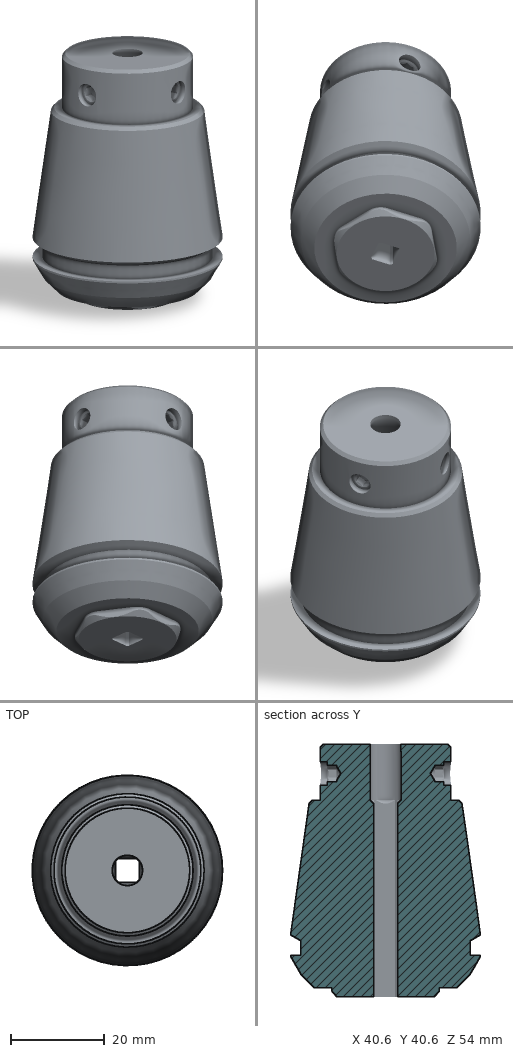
import cadquery as cq
import math

total_height = 54.0
hexagon_height = 1.9
rim_bottom_z = 8.6
groove_bottom_z = 9.0
groove_top_z = 12.0
shoulder_z = 42.0
set_screw_z = 47.7

body_max_radius = 40.64 / 2
rim_radius = 40.55 / 2
groove_radius = 36.4 / 2
cap_radius = 28.0 / 2
cap_chamfer = 0.7
shoulder_chamfer = 0.7

body_taper = math.radians(8)
nose_taper = math.radians(30)
nose_break_z = 4.75

hexagon_across_flats = 21.0
hexagon_across_corners = 23.0
hexagon_base_radius = 10.45
hexagon_taper = math.radians(40)

bore_diameter = 6.48
bore_depth = total_height - shoulder_z
square_side = 5.0
bore_floor_angle = math.radians(90)

set_screw_count = 4
screw_hole_diameter = 4.92
screw_face_radius = 12.5
socket_across_flats = 3.0
socket_depth = 2.0
countersink_diameter = 3.7
drill_point_angle = math.radians(118)


def cone(base_radius, top_radius, height):
    """Cone along +Z with its base at the origin."""
    return cq.Workplane("XY").add(cq.Solid.makeCone(base_radius, top_radius, height))


def across_corners(across_flats):
    return across_flats / math.cos(math.pi / 6)


def turned_body():
    """Nose, clamping groove, tapered body and cap revolved about Z."""
    groove_flank_height = (body_max_radius - groove_radius) * math.tan(nose_taper)
    body_bottom_z = groove_top_z + groove_flank_height
    body_top_z = shoulder_z - shoulder_chamfer
    body_top_radius = body_max_radius - (body_top_z - body_bottom_z) * math.tan(body_taper)
    nose_break_radius = rim_radius - (rim_bottom_z - nose_break_z) * math.tan(nose_taper)
    nose_end_radius = nose_break_radius - (nose_break_z - hexagon_height)
    profile = [
        (0, hexagon_height),
        (nose_end_radius, hexagon_height),
        (nose_break_radius, nose_break_z),
        (rim_radius, rim_bottom_z),
        (rim_radius, groove_bottom_z),
        (groove_radius, groove_bottom_z),
        (groove_radius, groove_top_z),
        (body_max_radius, body_bottom_z),
        (body_top_radius, body_top_z),
        (body_top_radius - shoulder_chamfer, shoulder_z),
        (cap_radius, shoulder_z),
        (cap_radius, total_height - cap_chamfer),
        (cap_radius - cap_chamfer, total_height),
        (0, total_height),
    ]
    return cq.Workplane("XZ").polyline(profile).close().revolve(360, (0, 0, 0), (0, 1, 0))


def bottom_hexagon():
    """Hexagon with flats facing +Y and -Y, rounded corners and a tapered lower edge."""
    sharp_corners = across_corners(hexagon_across_flats)
    corner_trim = (sharp_corners - hexagon_across_corners) / 2
    corner_radius = corner_trim / (1 / math.cos(math.pi / 6) - 1)
    prism = cq.Workplane("XY").polygon(6, sharp_corners).extrude(hexagon_height)
    prism = prism.edges("|Z").fillet(corner_radius)
    taper_top_radius = hexagon_base_radius + hexagon_height * math.tan(hexagon_taper)
    return prism.intersect(cone(hexagon_base_radius, taper_top_radius, hexagon_height))


def central_passage():
    """Round bore from the top with a conical floor, opening into a square through hole."""
    bore_radius = bore_diameter / 2
    bore_floor_z = total_height - bore_depth
    point_height = bore_radius / math.tan(bore_floor_angle / 2)
    bore = cq.Workplane("XY").workplane(offset=bore_floor_z).circle(bore_radius).extrude(bore_depth)
    point = cone(0, bore_radius, point_height).translate((0, 0, bore_floor_z - point_height))
    square = cq.Workplane("XY").rect(square_side, square_side).extrude(bore_floor_z)
    square = square.intersect(cq.Workplane("XY").circle(bore_radius).extrude(bore_floor_z))
    return bore.union(point).union(square)


def set_screw_recess():
    """Hole down to the screw face, with a countersunk hexagon socket, along +X."""
    countersink_radius = countersink_diameter / 2
    socket_radius = socket_across_flats / 2
    point_height = socket_radius / math.tan(drill_point_angle / 2)
    hole = (
        cq.Workplane("XY")
        .workplane(offset=screw_face_radius)
        .circle(screw_hole_diameter / 2)
        .extrude(cap_radius - screw_face_radius)
    )
    socket_floor = screw_face_radius - socket_depth
    socket = (
        cq.Workplane("XY")
        .workplane(offset=socket_floor)
        .polygon(6, across_corners(socket_across_flats))
        .extrude(socket_depth)
    )
    countersink = cone(0, countersink_radius, countersink_radius)
    countersink = countersink.translate((0, 0, screw_face_radius - countersink_radius))
    point = cone(0, socket_radius, point_height).translate((0, 0, socket_floor - point_height))
    recess = hole.union(socket).union(countersink).union(point)
    return recess.rotate((0, 0, 0), (0, 1, 0), 90).translate((0, 0, set_screw_z))


result = turned_body().union(bottom_hexagon()).cut(central_passage())
for index in range(set_screw_count):
    angle = index * 360 / set_screw_count
    result = result.cut(set_screw_recess().rotate((0, 0, 0), (0, 0, 1), angle))